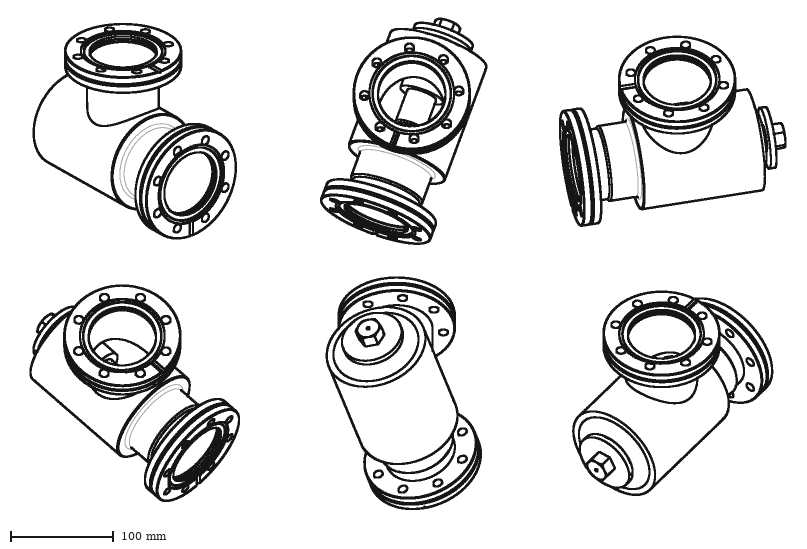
import cadquery as cq
import math

overall_length = 210.7
port_reach = 105.0
branch_top = port_reach
front_end = port_reach
back_end = front_end - overall_length

flange_diameter = 113.5
flange_radius = flange_diameter / 2
flange_thickness = 17.5
flange_edge_chamfer = 0.6
rim_groove_depth = 0.6
rim_groove_width = 2.5
socket_start = 4.2
socket_end = 7.8
gasket_radius = 41.3
gasket_depth = 1.5
knife_radius = 38.3
knife_depth = 0.8
inner_floor_radius = 38.0
inner_floor_depth = 1.5
bolt_count = 8
bolt_circle_radius = 46.0
bolt_hole_radius = 4.5
leak_groove_width = 4.6
leak_groove_depth = 2.0
leak_groove_overlap = 0.5

body_radius = 50.0
body_back = -77.0
body_front = 43.8
body_edge_chamfer = 0.8
body_wall = 3.5
cone_tip = -83.6
cone_tip_radius = 25.3
cone_base_radius = 43.0
neck_radius = 37.0
neck_end = 73.0
neck_fillet = 3.0
tube_radius = 35.0
tube_bore_radius = 32.9
neck_chamfer = neck_radius - tube_radius

collar_radius = 13.0
disc_radius = 30.1
disc_back = -92.7
disc_front = -87.0
disc_hole_radius = 0.8
disc_hole_depth = 4.2
hex_sides = 6
hex_across_flats = 22.3
hex_corner_angle = 30.0
center_hole_radius = 1.5

piston_radius = 22.1
piston_face = -28.9
nose_radius = 15.0
nose_end = 6.3
nose_chamfer = 2.0
stem_radius = 6.7
button_radius = 10.0
button_back = 12.5
button_rim = 13.7
button_tip = 16.9


def cylinder_x(radius, start, end):
    """Solid cylinder on the X axis between two X positions."""
    return cq.Workplane("YZ", origin=(start, 0, 0)).circle(radius).extrude(end - start)


def revolve_x(profile):
    """Revolve an (x, radius) profile in the XY plane about the X axis."""
    return profile.close().revolve(360, (0, 0, 0), (1, 0, 0))


def make_flange():
    """Flange on the Z axis with its sealing face at Z = 0 and its body below."""
    middle = -flange_thickness / 2
    half_groove = rim_groove_width / 2
    profile = (
        cq.Workplane("XZ")
        .moveTo(0, -flange_thickness)
        .lineTo(flange_radius - flange_edge_chamfer, -flange_thickness)
        .lineTo(flange_radius, -flange_thickness + flange_edge_chamfer)
        .lineTo(flange_radius, middle - half_groove)
        .lineTo(flange_radius - rim_groove_depth, middle)
        .lineTo(flange_radius, middle + half_groove)
        .lineTo(flange_radius, -flange_edge_chamfer)
        .lineTo(flange_radius - flange_edge_chamfer, 0)
        .lineTo(gasket_radius, 0)
        .lineTo(gasket_radius, -gasket_depth)
        .lineTo(knife_radius, -knife_depth)
        .lineTo(inner_floor_radius, -inner_floor_depth)
        .lineTo(0, -inner_floor_depth)
        .close()
    )
    flange = profile.revolve(360, (0, 0, 0), (0, 1, 0))

    bolt_holes = (
        cq.Workplane("XY")
        .polarArray(bolt_circle_radius, 180 / bolt_count, 360, bolt_count)
        .circle(bolt_hole_radius)
        .extrude(-flange_thickness)
    )
    leak_groove = (
        cq.Workplane("YZ", origin=(gasket_radius - leak_groove_overlap, 0, 0))
        .moveTo(-leak_groove_width / 2, 0)
        .lineTo(leak_groove_width / 2, 0)
        .lineTo(0, -leak_groove_depth)
        .close()
        .extrude(flange_radius - gasket_radius + leak_groove_overlap)
    )
    return flange.cut(bolt_holes).cut(leak_groove)


def make_shell():
    """Outside of the body, the end cone, the collar and the front neck."""
    return revolve_x(
        cq.Workplane("XY")
        .moveTo(disc_front, 0)
        .lineTo(disc_front, collar_radius)
        .lineTo(cone_tip, collar_radius)
        .lineTo(cone_tip, cone_tip_radius)
        .lineTo(body_back, cone_base_radius)
        .lineTo(body_back, body_radius)
        .lineTo(body_front - body_edge_chamfer, body_radius)
        .lineTo(body_front, body_radius - body_edge_chamfer)
        .lineTo(body_front, neck_radius + neck_fillet)
        .radiusArc((body_front + neck_fillet, neck_radius), -neck_fillet)
        .lineTo(neck_end, neck_radius)
        .lineTo(neck_end + neck_chamfer, tube_radius)
        .lineTo(front_end - flange_thickness, tube_radius)
        .lineTo(front_end - flange_thickness, 0)
    )


def make_plunger():
    """Piston with its nose, stem and domed button."""
    dome_height = button_tip - button_rim
    dome_sphere_radius = (button_radius**2 + dome_height**2) / (2 * dome_height)
    return revolve_x(
        cq.Workplane("XY")
        .moveTo(body_back, 0)
        .lineTo(body_back, piston_radius)
        .lineTo(piston_face, piston_radius)
        .lineTo(piston_face, nose_radius)
        .lineTo(nose_end - nose_chamfer, nose_radius)
        .lineTo(nose_end, nose_radius - nose_chamfer)
        .lineTo(nose_end, stem_radius)
        .lineTo(button_back, stem_radius)
        .lineTo(button_back, button_radius)
        .lineTo(button_rim, button_radius)
        .radiusArc((button_tip, 0), dome_sphere_radius)
    )


def make_actuator():
    """Stop disc with a small radial hole, and the hexagonal nut behind it."""
    disc = cylinder_x(disc_radius, disc_back, disc_front)
    disc_hole = (
        cq.Workplane("XZ", origin=((disc_back + disc_front) / 2, -disc_radius, 0))
        .circle(disc_hole_radius)
        .extrude(-disc_hole_depth)
    )
    flat_radius = hex_across_flats / 2
    corner_radius = flat_radius / math.cos(math.pi / hex_sides)
    nut_length = disc_back - back_end
    nut = (
        cq.Workplane("YZ", origin=(back_end, 0, 0))
        .polygon(hex_sides, 2 * corner_radius)
        .extrude(nut_length)
    )
    slope = math.tan(math.radians(hex_corner_angle))
    corner_cone = revolve_x(
        cq.Workplane("XY")
        .moveTo(back_end, 0)
        .lineTo(back_end, flat_radius)
        .lineTo(disc_back, flat_radius + nut_length / slope)
        .lineTo(disc_back, 0)
    )
    center_hole = revolve_x(
        cq.Workplane("XY")
        .moveTo(back_end, 0)
        .lineTo(back_end, center_hole_radius)
        .lineTo(back_end + center_hole_radius, 0)
    )
    return disc.cut(disc_hole).union(nut.intersect(corner_cone).cut(center_hole))


branch = cq.Workplane("XY").circle(tube_radius).extrude(branch_top - flange_thickness)
top_flange = make_flange().translate((0, 0, branch_top))
front_flange = make_flange().rotate((0, 0, 0), (0, 1, 0), 90).translate((front_end, 0, 0))
outside = make_shell().union(branch).union(top_flange).union(front_flange)

chamber = cylinder_x(body_radius - body_wall, body_back + body_wall, body_front - body_wall)
front_bore = cylinder_x(tube_bore_radius, 0, front_end)
front_socket = cylinder_x(tube_radius, front_end - socket_end, front_end - socket_start)
branch_bore = cq.Workplane("XY").circle(tube_bore_radius).extrude(branch_top)
branch_socket = (
    cq.Workplane("XY", origin=(0, 0, branch_top - socket_end))
    .circle(tube_radius)
    .extrude(socket_end - socket_start)
)
hollow = outside.cut(chamber)
for bore in (front_bore, front_socket, branch_bore, branch_socket):
    hollow = hollow.cut(bore)

result = hollow.union(make_plunger()).union(make_actuator())